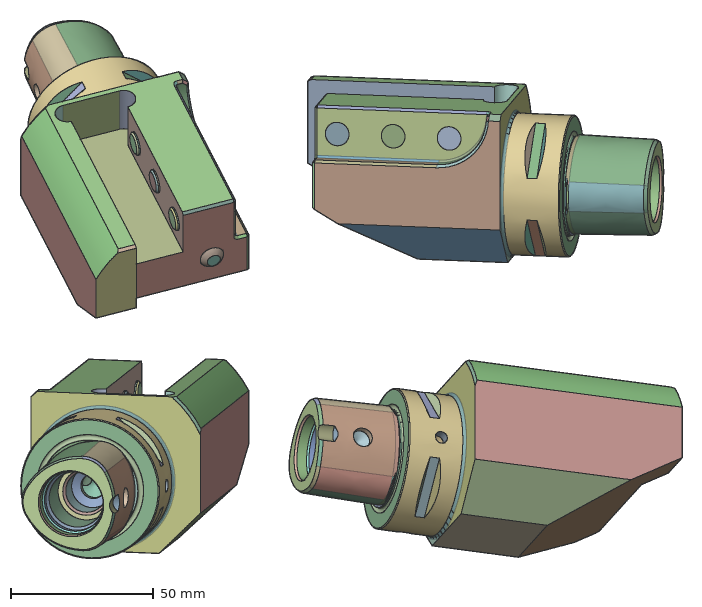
import cadquery as cq
import math

total_length = 128.0
small_break = 1.0
drill_half_angle = math.radians(59)

lobe_offset = 8.0
lobe_radius_large = 10.6
lobe_radius_small = 10.0
tip_edge_height = 1.3
tip_edge_inset = 0.6
taper_end = 27.9

neck_end = 29.3
neck_lobe_radius = 17.7
collar_radius = 17.4
groove_outer_radius = 19.3

flange_start = 30.0
flange_radius = 25.0
flange_edge = 0.4

block_start = 51.0
block_end = 118.0
block_back = 26.0
block_front = -35.1
block_bottom = -26.0
block_top = 30.1
bottom_corner = 15.0
back_top_corner = 2.0
front_top_radius = 40.0
relief_slope = math.radians(30)

turned_length = 0.8
wall_bevel_length = 1.3
wall_bevel_drop = 0.6

slot_front = -20.0
slot_back = 1.2
slot_start = 52.9
slot_depth = 19.0
corner_relief_radius = 4.2

recess_start = 56.0
recess_sweep_radius = 17.7
recess_width = 5.0
recess_straight = 1.0
recess_fillet = 0.8
rim_chamfer = 0.9

gripper_x = 40.0
gripper_floor_width = 3.5
gripper_mouth_width = 6.8
gripper_floor_distance = 22.1

flange_hole_x = 42.0
flange_hole_radius = 2.2
flange_hole_depth = 4.5
taper_hole_x = 15.9
taper_hole_radius = 3.5
taper_hole_y = 16.4
taper_hole_depth = 3.2
key_hole_radius = 3.3
key_hole_length = 5.5
key_hole_y = -17.2

mouth_radius = 11.8
mouth_chamfer = 0.4
mouth_chamfer_length = 0.9
entry_length = 4.5
entry_cone = 0.6
relief_radius = 10.8
relief_end = 7.4
wide_start = 8.7
wide_radius = 9.9
wide_end = 23.0
step_radius = 8.2
bore_radius = 7.3
bore_length = 33.3
core_radius = 4.4
core_end = 37.1

coolant_radius = 1.9
coolant_y = 3.1
coolant_z = 1.5

screw_radius = 4.2
screw_first_x = 70.0
screw_pitch = 20.0
screw_count = 3
screw_z = 20.1
screw_tip = 1.2
screw_chamfer = 0.6

nozzle_radius = 5.0
nozzle_y = 11.9
nozzle_z = 5.0
nozzle_inset = 2.4
nozzle_projection = 1.9

slot_floor = block_top - slot_depth
recess_wall = block_back - recess_width
recess_floor = block_top - recess_straight - recess_sweep_radius


def polar(radius, angle):
    return radius * math.cos(angle), radius * math.sin(angle)


def lobe_wire(x, lobe_radius):
    """Closed lobed profile at x: lobes at 0, 120 and 240 degrees, measured from +Y."""
    flat_radius = lobe_offset * math.sqrt(3) + lobe_radius

    def lobe_point(lobe_angle, normal_angle):
        cy, cz = polar(lobe_offset, lobe_angle)
        dy, dz = polar(lobe_radius, normal_angle)
        return cq.Vector(x, cy + dy, cz + dz)

    edges = []
    for index in range(3):
        lobe = math.radians(120 * index)
        following = lobe + math.radians(120)
        start = lobe_point(lobe, lobe - math.pi / 6)
        middle = lobe_point(lobe, lobe)
        end = lobe_point(lobe, lobe + math.pi / 6)
        edges.append(cq.Edge.makeThreePointArc(start, middle, end))
        flat_y, flat_z = polar(flat_radius - lobe_offset, lobe + math.pi / 3)
        flat_middle = cq.Vector(x, flat_y, flat_z)
        flat_end = lobe_point(following, following - math.pi / 6)
        edges.append(cq.Edge.makeThreePointArc(end, flat_middle, flat_end))
    return cq.Wire.assembleEdges(edges)


def rod(x_start, x_end, radius, y=0, z=0):
    return cq.Workplane("YZ", origin=(x_start, y, z)).circle(radius).extrude(x_end - x_start)


def revolve_about_axis(points):
    """Solid of revolution about X from (x, radius) points."""
    return cq.Workplane("XY").polyline(points).close().revolve(360, (0, 0, 0), (1, 0, 0))


def drill(origin, direction, radius, depth):
    """Drilled hole with a conical bottom; depth is that of its cylindrical part."""
    tip = radius / math.tan(drill_half_angle)
    start = cq.Vector(*origin)
    heading = cq.Vector(*direction)
    shank = cq.Solid.makeCylinder(radius, depth, start, heading)
    point = cq.Solid.makeCone(radius, 0, tip, start + heading * depth, heading)
    return cq.Workplane(obj=shank).union(cq.Workplane(obj=point))


def make_taper():
    large = lobe_wire(taper_end, lobe_radius_large)
    small = lobe_wire(tip_edge_height, lobe_radius_small)
    tip = lobe_wire(0, lobe_radius_small - tip_edge_inset)
    cone = cq.Workplane(obj=cq.Solid.makeLoft([small, large], True))
    edge = cq.Workplane(obj=cq.Solid.makeLoft([tip, small], True))
    return cone.union(edge)


def make_neck():
    """Short lobed prism behind the taper, with its lobes turned down to a round."""
    shoulder = lobe_offset + lobe_radius_large - neck_lobe_radius
    length = neck_end - taper_end
    wire = lobe_wire(taper_end, lobe_radius_large)
    prism = cq.Workplane(obj=cq.Solid.extrudeLinear(wire, [], cq.Vector(length, 0, 0)))
    turned = revolve_about_axis([
        (taper_end, 0),
        (taper_end, neck_lobe_radius + shoulder),
        (taper_end + shoulder, neck_lobe_radius),
        (neck_end, neck_lobe_radius),
        (neck_end, 0),
    ])
    return prism.intersect(turned)


def make_flange():
    """Flange cylinder with its face groove, the collar inside the groove and the flare into the block."""
    flange = rod(flange_start, block_start, flange_radius).faces("<X").chamfer(flange_edge)
    groove_radius = (groove_outer_radius - collar_radius) / 2
    groove_centre = collar_radius + groove_radius
    centre = cq.Vector(flange_start, 0, 0)
    ring = cq.Solid.makeTorus(groove_centre, groove_radius, centre, cq.Vector(1, 0, 0))
    groove = cq.Workplane(obj=ring)
    flare = (
        cq.Workplane("XY")
        .moveTo(block_start - small_break, flange_radius)
        .radiusArc((block_start, flange_radius + small_break), -small_break)
        .lineTo(block_start, 0)
        .lineTo(block_start - small_break, 0)
        .close()
        .revolve(360, (0, 0, 0), (1, 0, 0))
    )
    collar = rod(neck_end, flange_start, collar_radius)
    return flange.cut(groove).union(flare).union(collar)


def gripper_grooves():
    """Four V-sided grooves milled tangentially, one in each quadrant."""
    mouth_half = gripper_mouth_width / 2
    floor_half = gripper_floor_width / 2
    profile = [
        (gripper_x - floor_half, gripper_floor_distance),
        (gripper_x + floor_half, gripper_floor_distance),
        (gripper_x + mouth_half, flange_radius),
        (gripper_x - mouth_half, flange_radius),
    ]
    groove = cq.Workplane("XZ").polyline(profile).close().extrude(flange_radius, both=True)
    grooves = cq.Workplane("XY")
    for index in range(4):
        grooves = grooves.add(groove.rotate((0, 0, 0), (1, 0, 0), 45 + 90 * index))
    return grooves.combine()


def make_block():
    length = total_length - block_start
    arc_start_y = -math.sqrt(front_top_radius**2 - block_top**2)
    arc_end_z = math.sqrt(front_top_radius**2 - block_front**2)
    return (
        cq.Workplane("YZ", origin=(block_start, 0, 0))
        .moveTo(block_back, block_bottom + bottom_corner)
        .lineTo(block_back, block_top - back_top_corner)
        .lineTo(block_back - back_top_corner, block_top)
        .lineTo(arc_start_y, block_top)
        .radiusArc((block_front, arc_end_z), -front_top_radius)
        .lineTo(block_front, block_bottom + bottom_corner)
        .lineTo(block_front + bottom_corner, block_bottom)
        .lineTo(block_back - bottom_corner, block_bottom)
        .close()
        .extrude(length)
    )


def corner_turning():
    """Ring with a conical inside that breaks the rounded front corner at the flange end."""
    outer = front_top_radius + small_break
    return revolve_about_axis([
        (block_start, front_top_radius - small_break),
        (block_start, outer),
        (block_start + turned_length, outer),
        (block_start + turned_length, front_top_radius),
    ])


def wall_end_bevel():
    """Wedge that breaks the top edge at the end of the long wall."""
    return (
        cq.Workplane("XZ", origin=(0, slot_front, 0))
        .polyline([
            (total_length - wall_bevel_length, block_top),
            (total_length, block_top),
            (total_length, block_top - wall_bevel_drop),
        ])
        .close()
        .extrude(slot_front - block_front)
    )


def shorten_block(block):
    """Shorten everything behind the long wall."""
    far = block_back - slot_front
    height = block_top - block_bottom
    offcut = cq.Workplane("XY").box(total_length - block_end, far, height, centered=False)
    return block.cut(offcut.translate((block_end, slot_front, block_bottom)))


def underside_relief():
    """Wedge below the slanted underside, which rises to the axis level at the far end."""
    run = -block_bottom / math.tan(relief_slope)
    return (
        cq.Workplane("XZ", origin=(0, block_back, 0))
        .polyline([
            (total_length, 0),
            (total_length, block_bottom),
            (total_length - run, block_bottom),
        ])
        .close()
        .extrude(block_back - block_front)
    )


def tool_slot():
    length = total_length - slot_start
    slot = (
        cq.Workplane("XY")
        .box(length, slot_back - slot_front, slot_depth, centered=False)
        .translate((slot_start, slot_front, slot_floor))
    )
    reliefs = (
        cq.Workplane("XY", origin=(0, 0, slot_floor))
        .pushPoints([(slot_start + corner_relief_radius, y) for y in (slot_front, slot_back)])
        .circle(corner_relief_radius)
        .extrude(slot_depth)
    )
    return slot.union(reliefs)


def back_recess():
    return (
        cq.Workplane("XZ", origin=(0, recess_wall, 0))
        .moveTo(recess_start, block_top)
        .lineTo(recess_start, recess_floor + recess_sweep_radius)
        .radiusArc((recess_start + recess_sweep_radius, recess_floor), -recess_sweep_radius)
        .lineTo(block_end, recess_floor)
        .lineTo(block_end, block_top)
        .close()
        .extrude(-recess_width)
    )


def soften_recess(block):
    """Fillet the foot of the recess wall, then chamfer the recess rim and the short end face."""
    near = 0.1
    foot = cq.selectors.BoxSelector(
        (recess_start - near, recess_wall - near, recess_floor - near),
        (block_end - near, recess_wall + near, block_top - near),
    )
    block = block.edges(foot).fillet(recess_fillet)
    rim_top = cq.selectors.BoxSelector(
        (recess_start - near, recess_wall - near, block_top - near),
        (block_end - near, block_back + near, block_top + near),
    )
    rim_back = cq.selectors.BoxSelector(
        (recess_start - near, block_back - back_top_corner, recess_floor - near),
        (block_end - near, block_back + near, block_top + near),
    )
    end_face = cq.selectors.BoxSelector(
        (block_end - near, slot_back + near, 0),
        (block_end + near, block_back + near, block_top + near),
    )
    return block.edges(rim_top + rim_back + end_face).chamfer(rim_chamfer)


def stepped_bore():
    """Bore with a turned entry, a long wide section and a drilled core hole."""
    core_cone = (bore_radius - core_radius) / math.tan(drill_half_angle)
    core_tip = core_radius / math.tan(drill_half_angle)
    cone_end = bore_length + core_cone
    return revolve_about_axis([
        (0, 0),
        (0, mouth_radius),
        (mouth_chamfer_length, mouth_radius - mouth_chamfer),
        (entry_length, mouth_radius - mouth_chamfer),
        (entry_length + entry_cone, relief_radius),
        (relief_end, relief_radius),
        (wide_start, wide_radius),
        (wide_end, wide_radius),
        (wide_end, step_radius),
        (wide_end + step_radius - bore_radius, bore_radius),
        (bore_length, bore_radius),
        (cone_end, core_radius),
        (core_end, core_radius),
        (core_end + core_tip, 0),
    ])


def coolant_channel():
    """Oblique hole from the core hole to the seat of the nozzle."""
    start = cq.Vector(core_end, coolant_y, coolant_z)
    run = cq.Vector(block_end - nozzle_inset, nozzle_y, nozzle_z) - start
    return cq.Workplane(obj=cq.Solid.makeCylinder(coolant_radius, run.Length, start, run))


def make_screw(x):
    """Clamping screw from the recess wall into the slot."""
    length = recess_wall - slot_back + screw_tip
    return (
        cq.Workplane("XZ", origin=(x, recess_wall, screw_z))
        .circle(screw_radius)
        .extrude(length)
        .faces("<Y")
        .chamfer(screw_chamfer)
    )


def make_nozzle():
    """Ball seated in the end face, with a flat on its outer side."""
    centre = (block_end - nozzle_inset, nozzle_y, nozzle_z)
    ball = cq.Workplane("XY").sphere(nozzle_radius).translate(centre)
    limit = rod(0, block_end + nozzle_projection, nozzle_radius, nozzle_y, nozzle_z)
    return ball.intersect(limit)


def make_block_with_cutouts():
    block = shorten_block(make_block().cut(underside_relief()))
    block = soften_recess(block.cut(tool_slot()).cut(back_recess()))
    return block.cut(corner_turning()).cut(wall_end_bevel())


def make_holder():
    holder = make_block_with_cutouts().union(make_flange()).union(make_neck()).union(make_taper())
    holder = holder.cut(gripper_grooves()).cut(coolant_channel()).cut(stepped_bore())
    inward = (0, 1, 0)
    flange_hole_start = (flange_hole_x, -flange_radius, 0)
    taper_hole_start = (taper_hole_x, -taper_hole_y, 0)
    holder = holder.cut(drill(flange_hole_start, inward, flange_hole_radius, flange_hole_depth))
    holder = holder.cut(drill(taper_hole_start, inward, taper_hole_radius, taper_hole_depth))
    return holder.cut(drill((0, key_hole_y, 0), (1, 0, 0), key_hole_radius, key_hole_length))


screws = [make_screw(screw_first_x + index * screw_pitch) for index in range(screw_count)]
nozzle = make_nozzle()
holder = make_holder()
for fitting in [*screws, nozzle]:
    holder = holder.cut(fitting)

result = cq.Compound.makeCompound([holder.val(), *[screw.val() for screw in screws], nozzle.val()])